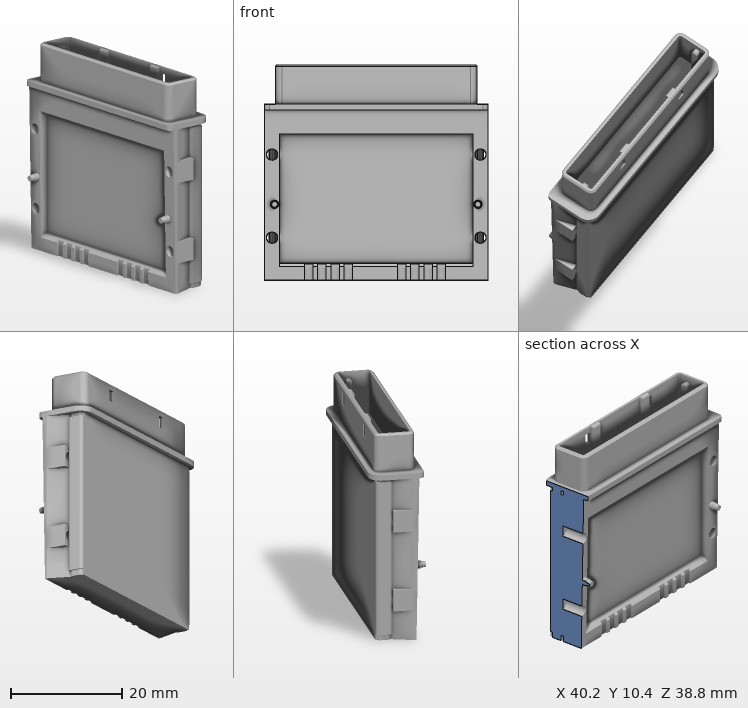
import cadquery as cq
import math


width = 40.25
half_width = width / 2
body_height = 30.67
front_at_bottom = -7.2
front_draft = 1.0
core_half_width = 18.8

rail_half_width = 19.25
rail_depth = 3.0
rail_fillet = 0.6
rail_end_inset = 0.3
rail_bottom = 1.1
rail_top = 30.03

pocket_front = -6.8
pocket_ranges = ((0.0, 5.68), (9.7, 20.65), (24.67, body_height))

flange_top = 31.68
flange_back = 1.2
flange_front = -8.77
flange_back_radius = 2.4
flange_front_radius = 0.95

total_height = 38.75
shroud_half_width = 18.15
shroud_front = -7.35
shroud_radius = 1.2
shroud_chamfer = 0.3
wall = 0.75
cavity_radius = 0.4
cavity_floor = body_height

latch_inner_side = 6.0
latch_width = 2.05
latch_depth = 0.65
latch_fillet = 0.4
window_width = 1.5
window_bottom = 35.4
window_top = 37.55

guide_length = 1.05
guide_width = 1.13
guide_center = -2.6
guide_top = 37.65
guide_fillet = 0.5

recess_half_width = 17.43
recess_floor = -5.8
recess_top = 26.3
sill_back_height = 3.18
sill_edge = -6.72
sill_edge_height = 3.05
sill_front_height = 2.55

groove_width = 1.53
groove_pitch = 2.37
groove_floor = -6.85
groove_top = 2.98
grooves_per_group = 4
group_starts = (-12.92, 3.82)

hole_radius = 1.0
hole_x = 18.7
hole_heights = (7.7, 22.62)
slit_x = 18.05
slit_width = 0.32
slit_depth = 0.4
pin_x = 18.27
pin_z = 13.7
pin_base_radius = 0.72
pin_base_end = -8.25
pin_neck_radius = 0.65
pin_tip_radius = 0.52
pin_end = -9.2


def box(x0, x1, y0, y1, z0, z1):
    return cq.Workplane("XY").box(x1 - x0, y1 - y0, z1 - z0, centered=False).translate((x0, y0, z0))


def front_y(z):
    """Y of the drafted front face at height z."""
    return front_at_bottom - z * math.tan(math.radians(front_draft))


def both_sides(shape):
    return shape.union(shape.mirror("YZ"))


def along_y(x, z, radius, y_start, y_end, end_radius=None):
    """Round bar running along -Y, tapered when an end radius is given."""
    end_radius = radius if end_radius is None else end_radius
    profile = [(0, y_start), (radius, y_start), (end_radius, y_end), (0, y_end)]
    bar = cq.Workplane("XY").polyline(profile).close().revolve(360, (0, 0), (0, 1))
    return bar.translate((x, 0, z))


def front_block():
    profile = [
        (-rail_depth, 0),
        (front_y(0), 0),
        (front_y(body_height), body_height),
        (-rail_depth, body_height),
    ]
    block = cq.Workplane("YZ").polyline(profile).close().extrude(half_width, both=True)
    return block.cut(both_sides(side_pockets()))


def side_pockets():
    outline = [(-half_width, pocket_front), (-half_width, -rail_depth), (-core_half_width, -rail_depth)]
    pockets = cq.Workplane("XY")
    for bottom, top in pocket_ranges:
        pocket = cq.Workplane("XY", origin=(0, 0, bottom)).polyline(outline).close()
        pockets = pockets.add(pocket.extrude(top - bottom))
    return pockets.combine()


def rail_section(inset, bottom, top):
    x = rail_half_width - inset
    section = box(-x, x, inset - rail_depth, -inset, bottom, top)
    return section.edges("|Z").fillet(rail_fillet)


def rear_block():
    core_x = rail_half_width - rail_fillet
    core = box(-core_x, core_x, -rail_depth, 0, 0, body_height)
    ends = rail_section(rail_end_inset, 0, body_height)
    return core.union(ends).union(rail_section(0, rail_bottom, rail_top))


def flange():
    plate = box(-half_width, half_width, flange_front, flange_back, body_height, flange_top)
    plate = plate.edges("|Z and >Y").fillet(flange_back_radius)
    return plate.edges("|Z and <Y").fillet(flange_front_radius)


def shroud():
    x = shroud_half_width
    sleeve = box(-x, x, shroud_front, 0, flange_top, total_height)
    return sleeve.edges("|Z").fillet(shroud_radius).faces(">Z").chamfer(shroud_chamfer)


def cavity():
    x = shroud_half_width - wall
    hollow = box(-x, x, shroud_front + wall, -wall, cavity_floor, total_height)
    return hollow.edges("|Z").fillet(cavity_radius)


def latch_rib():
    x0 = latch_inner_side
    rib = box(x0, x0 + latch_width, -wall - latch_depth, -wall, cavity_floor, total_height)
    return rib.edges(">Z and <Y").fillet(latch_fillet)


def latch_window():
    x0 = latch_inner_side + latch_width
    return box(x0, x0 + window_width, -wall, 0, window_bottom, window_top)


def guide_rib():
    x1 = shroud_half_width - wall
    y0 = guide_center - guide_width / 2
    rib = box(x1 - guide_length, x1, y0, y0 + guide_width, cavity_floor, guide_top)
    return rib.faces(">Z").edges("<X or |X").fillet(guide_fillet)


def front_recess():
    beyond = flange_front
    profile = [
        (recess_floor, recess_top),
        (recess_floor, sill_back_height),
        (sill_edge, sill_edge_height),
        (front_y(sill_front_height), sill_front_height),
        (beyond, sill_front_height),
        (beyond, recess_top),
    ]
    return cq.Workplane("YZ").polyline(profile).close().extrude(recess_half_width, both=True)


def bottom_grooves():
    grooves = cq.Workplane("XY")
    for start in group_starts:
        for i in range(grooves_per_group):
            x0 = start + i * groove_pitch
            grooves = grooves.add(box(x0, x0 + groove_width, flange_front, groove_floor, 0, groove_top))
    return grooves.combine()


def mounting_hole(z):
    """Hole through the front block, with a narrow slit across its floor."""
    hole = along_y(hole_x, z, hole_radius, -rail_depth, flange_front)
    deep_hole = along_y(hole_x, z, hole_radius, slit_depth - rail_depth, flange_front)
    x0 = slit_x - slit_width / 2
    slit = box(x0, x0 + slit_width, flange_front, 0, z - hole_radius, z + hole_radius)
    return hole.union(deep_hole.intersect(slit))


def locating_pin():
    base = along_y(pin_x, pin_z, pin_base_radius, recess_floor, pin_base_end)
    tip = along_y(pin_x, pin_z, pin_neck_radius, pin_base_end, pin_end, pin_tip_radius)
    return base.union(tip)


result = front_block().union(rear_block()).union(flange()).union(shroud())
result = result.cut(cavity()).cut(both_sides(latch_window()))
result = result.union(both_sides(latch_rib())).union(both_sides(guide_rib()))
result = result.cut(front_recess()).cut(bottom_grooves())
for hole_z in hole_heights:
    result = result.cut(both_sides(mounting_hole(hole_z)))
result = result.union(both_sides(locating_pin()))